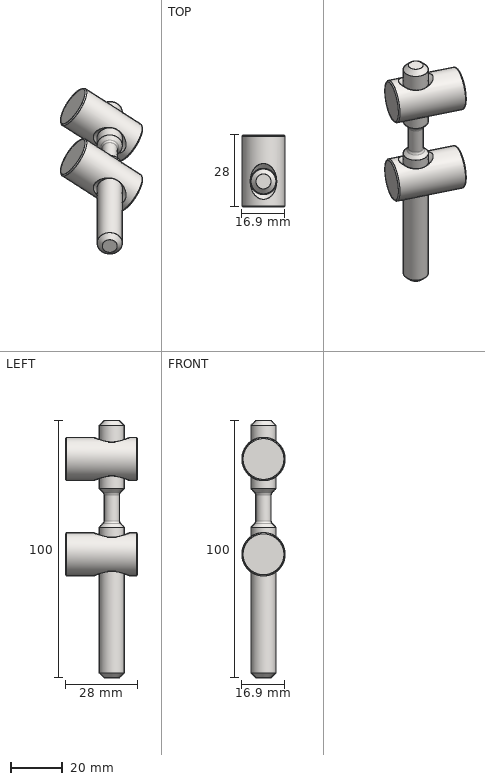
import cadquery as cq

rod_length = 100.0
rod_radius = 9.8 / 2
end_chamfer = 2.0

neck_radius = 6.0 / 2
neck_fillet = 1.5
lower_shoulder = 58.5
upper_shoulder = 73.5
shoulder_drop = rod_radius - neck_radius

barrel_radius = 16.85 / 2
barrel_length = 28.0
barrel_chamfer = 0.5
front_overhang = 10.0
barrel_heights = (48.0, 85.0)

bore_radius = 10.05 / 2
bore_length = 13.0
flare_depth = barrel_radius


def make_rod():
    """One turned rod: chamfered ends and a waisted neck."""
    body = (
        cq.Workplane("XZ")
        .polyline([
            (0, 0),
            (rod_radius - end_chamfer, 0),
            (rod_radius, end_chamfer),
            (rod_radius, lower_shoulder),
            (neck_radius, lower_shoulder + shoulder_drop),
            (neck_radius, upper_shoulder - shoulder_drop),
            (rod_radius, upper_shoulder),
            (rod_radius, rod_length - end_chamfer),
            (rod_radius - end_chamfer, rod_length),
            (0, rod_length),
        ])
        .close()
        .revolve(360, (0, 0), (0, 1))
    )
    neck_ends = cq.selectors.BoxSelector(
        (-rod_radius, -rod_radius, lower_shoulder + shoulder_drop / 2),
        (rod_radius, rod_radius, upper_shoulder - shoulder_drop / 2),
    )
    return body.edges("%CIRCLE").edges(neck_ends).fillet(neck_fillet)


def make_rod_hole(height):
    """Revolved cutter for the bore and its two flares, centred on a barrel axis."""
    throat = bore_length / 2
    reach = throat + flare_depth
    reach_radius = bore_radius + flare_depth
    return (
        cq.Workplane("XZ", origin=(0, 0, height))
        .polyline([
            (0, -reach),
            (reach_radius, -reach),
            (bore_radius, -throat),
            (bore_radius, throat),
            (reach_radius, reach),
            (0, reach),
        ])
        .close()
        .revolve(360, (0, 0), (0, 1))
    )


def make_barrel(height):
    """Chamfered cross barrel with a flared hole for the rod."""
    barrel = (
        cq.Workplane("XZ", origin=(0, -front_overhang, height))
        .circle(barrel_radius)
        .extrude(-barrel_length)
        .faces("<Y or >Y")
        .chamfer(barrel_chamfer)
    )
    return barrel.cut(make_rod_hole(height))


rod = make_rod()
barrels = [make_barrel(height) for height in barrel_heights]

result = cq.Compound.makeCompound([rod.val(), *[barrel.val() for barrel in barrels]])